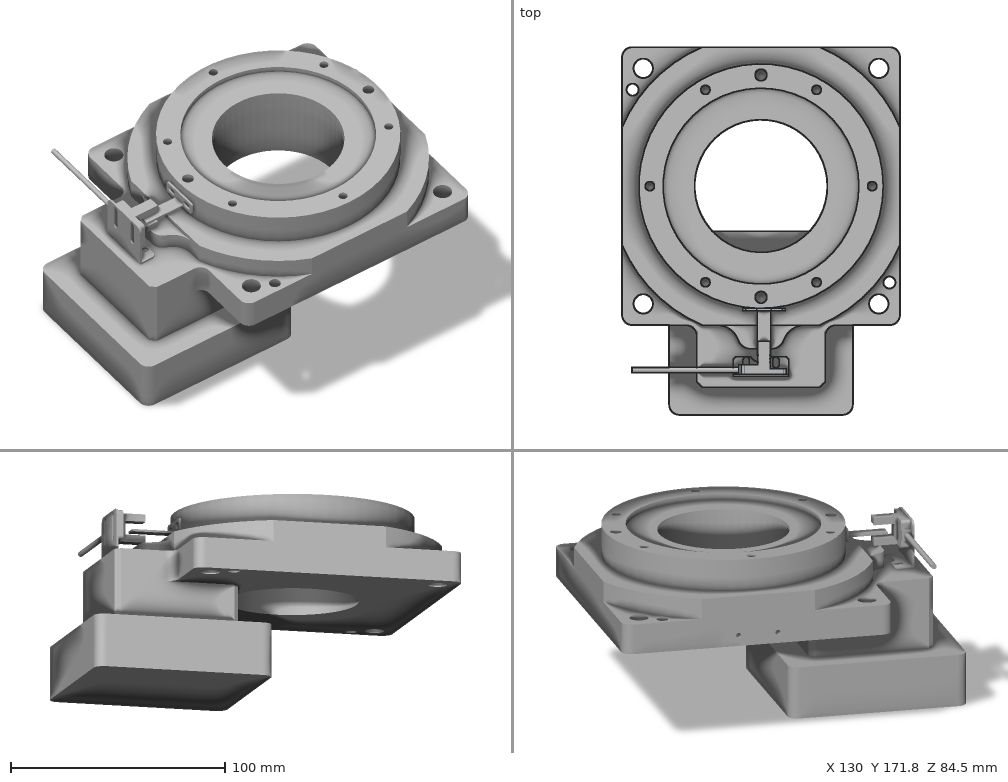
import cadquery as cq
import math


total_height = 84.5
motor_height = 25.1
plate_bottom = 45.0
plate_top = 59.5
disc_top = 69.5

plate_side = 130.0
plate_half = plate_side / 2
corner_radius = 5.0
disc_radius = 70.5
bore_radius = 31.0
mount_offset = 55.0
mount_hole_diameter = 9.0
dowel_x, dowel_y = 60.0, 45.0
dowel_diameter = 5.5

total_length = 171.8
motor_side = 86.0
motor_y = plate_half - total_length + motor_side / 2
gear_side = 60.0
gear_chamfer = 2.5
gear_front = motor_y - gear_side / 2

bump_height = 7.7
bump_length = 11.0
bump_tip_half_width = 4.8
bump_tip_radius = 6.2
bump_fillet_radius = 10.5

side_hole_spacing = 18.9
side_hole_diameter = 2.4
side_hole_depth = 5.2
side_hole_z = 50.2

hub_radius = 45.7
hub_top = 81.6

table_radius = 57.0
bolt_circle_radius = 51.9
screw_hole_diameter = 4.3
pin_hole_diameter = 5.5
table_hole_depth = 10.0
drill_tip_angle = 118.0

sheet = 1.0
bend_radius = 0.5
sensor_x = 1.4
sensor_z = 75.0

flag_width = 20.0
flag_bottom = 73.4
flag_height = 6.2
flag_corner_radius = 1.0
flag_slot_spacing = 12.0
flag_slot_length = 5.2
flag_slot_width = 3.0
tongue_width = 6.4
tongue_end = -78.9

bracket_width = 26.1
bracket_front = -88.8
bracket_back = -79.5
bracket_height = 22.9
bracket_corner_radius = 3.0
foot_corner_radius = 2.2
bracket_slot_width = 3.0
upright_slot_spacing = 13.2
upright_slot_bottom, upright_slot_top = 68.2, 81.3
foot_slot_spacing = 14.0
foot_slot_length = 5.2
foot_slot_y = -82.3
foot_notch_radius = 5.8
foot_notch_y = -76.5

sensor_height = 13.5
fork_width = 5.7
fork_tip = -72.3
fork_gap = 6.5
fork_floor = -82.1
lug_span = 21.0
lug_back_left = -83.3
lug_back_right = -85.2
lug_corner_radius = 1.4
lug_hole_x = 8.5
lug_hole_spacing = 7.4
lug_hole_diameter = 3.5
outlet_end = -10.5
outlet_height = 5.2
cable_diameter = 2.5
cable_y = -86.0
cable_end = -60.3


def box(x_range, y_range, z_range):
    """Box between two limits along each axis."""
    size = [high - low for low, high in (x_range, y_range, z_range)]
    corner = (x_range[0], y_range[0], z_range[0])
    return cq.Workplane("XY").box(*size, centered=False).translate(corner)


def cylinder(radius, bottom, top):
    """Cylinder about the turntable axis."""
    return cq.Workplane("XY").workplane(offset=bottom).circle(radius).extrude(top - bottom)


def make_bump():
    """Flat-ended lobe whose rounded corners run into hollow fillets at the plate edge."""
    edge = -plate_half
    tip = edge - bump_length
    corner_x = bump_tip_half_width
    corner_y = tip + bump_tip_radius
    fillet_y = edge - bump_fillet_radius
    reach = bump_tip_radius + bump_fillet_radius
    fillet_x = corner_x + math.sqrt(reach**2 - (corner_y - fillet_y) ** 2)

    lean = math.atan2(fillet_x - corner_x, corner_y - fillet_y)

    def on_corner(angle):
        """Point of the convex corner arc, angle from its lowest point."""
        return (
            corner_x + bump_tip_radius * math.sin(angle),
            corner_y - bump_tip_radius * math.cos(angle),
        )

    def on_fillet(angle):
        """Point of the hollow fillet arc, angle from its highest point."""
        return (
            fillet_x - bump_fillet_radius * math.sin(angle),
            fillet_y + bump_fillet_radius * math.cos(angle),
        )

    half_lobe = (
        cq.Workplane("XY").workplane(offset=plate_top)
        .moveTo(0, edge)
        .lineTo(0, tip)
        .lineTo(corner_x, tip)
        .threePointArc(on_corner(lean / 2), on_corner(lean))
        .threePointArc(on_fillet(lean / 2), on_fillet(0))
        .close()
        .extrude(bump_height)
    )
    return half_lobe.union(half_lobe.mirror("YZ"))


def make_neck():
    """Hollow fillets in the corners between plate edge and gear box sides."""
    half = gear_side / 2
    neck = box(
        (-half - corner_radius, half + corner_radius),
        (-plate_half - corner_radius, -plate_half),
        (plate_bottom, plate_top),
    )
    rounds = (
        cq.Workplane("XY").workplane(offset=plate_bottom)
        .pushPoints([(side * (half + corner_radius), -plate_half - corner_radius) for side in (-1, 1)])
        .circle(corner_radius)
        .extrude(plate_top - plate_bottom)
    )
    return neck.cut(rounds)


def make_base():
    plate = (
        box((-plate_half, plate_half), (-plate_half, plate_half), (plate_bottom, plate_top))
        .edges("|Z").fillet(corner_radius)
    )
    disc = cylinder(disc_radius, plate_top, disc_top).intersect(
        box((-plate_half, plate_half), (-plate_half, plate_half), (plate_top, disc_top))
    )
    gear_box = (
        box((-gear_side / 2, gear_side / 2), (gear_front, gear_front + gear_side), (motor_height, plate_top))
        .edges("|Z").chamfer(gear_chamfer)
    )
    motor = (
        cq.Workplane("XY").center(0, motor_y).rect(motor_side, motor_side).extrude(motor_height)
        .edges("|Z").fillet(corner_radius)
    )
    base = plate.union(disc).union(make_neck()).union(gear_box).union(motor).union(make_bump())
    base = base.union(cylinder(hub_radius, plate_top, hub_top))
    base = base.cut(cylinder(bore_radius, plate_bottom, hub_top))

    through_holes = (
        cq.Workplane("XY").workplane(offset=plate_bottom)
        .rect(2 * mount_offset, 2 * mount_offset, forConstruction=True).vertices()
        .circle(mount_hole_diameter / 2).extrude(plate_top - plate_bottom)
    )
    dowel_holes = (
        cq.Workplane("XY").workplane(offset=plate_bottom)
        .pushPoints([(-dowel_x, dowel_y), (dowel_x, -dowel_y)])
        .circle(dowel_diameter / 2).extrude(plate_top - plate_bottom)
    )
    side_holes = (
        cq.Workplane("YZ").workplane(offset=-plate_half)
        .pushPoints([(side * side_hole_spacing / 2, side_hole_z) for side in (-1, 1)])
        .circle(side_hole_diameter / 2).extrude(side_hole_depth)
    )
    return base.cut(through_holes).cut(dowel_holes).cut(side_holes)


def table_hole(angle, diameter):
    """Blind drilled hole with a conical tip, on the bolt circle."""
    radius = diameter / 2
    tip_depth = radius / math.tan(math.radians(drill_tip_angle / 2))
    profile = [
        (0, 0),
        (radius, 0),
        (radius, -table_hole_depth),
        (0, -table_hole_depth - tip_depth),
    ]
    drill = cq.Workplane("XZ").polyline(profile).close().revolve(360, (0, 0), (0, 1))
    x = bolt_circle_radius * math.cos(math.radians(angle))
    y = bolt_circle_radius * math.sin(math.radians(angle))
    return drill.translate((x, y, total_height))


def make_turntable():
    """Ring on the disc, around the fixed hub."""
    table = cylinder(table_radius, disc_top, total_height)
    table = table.cut(cylinder(hub_radius, disc_top, total_height))
    for angle in range(0, 360, 60):
        table = table.cut(table_hole(angle, screw_hole_diameter))
    for angle in (90, 270):
        table = table.cut(table_hole(angle, pin_hole_diameter))
    return table


def make_flag():
    """Bent flag: slotted tab against the turntable and a tongue into the fork."""
    front = -table_radius - sheet
    tab = (
        box(
            (sensor_x - flag_width / 2, sensor_x + flag_width / 2),
            (front, -table_radius),
            (flag_bottom, flag_bottom + flag_height),
        )
        .edges("|Y").fillet(flag_corner_radius)
    )
    slots = (
        cq.Workplane("XZ").workplane(offset=table_radius)
        .pushPoints([
            (sensor_x + side * flag_slot_spacing / 2, flag_bottom + flag_height / 2)
            for side in (-1, 1)
        ])
        .slot2D(flag_slot_length, flag_slot_width).extrude(sheet)
    )
    tongue = box(
        (sensor_x - tongue_width / 2, sensor_x + tongue_width / 2),
        (tongue_end, -table_radius),
        (flag_bottom, flag_bottom + sheet),
    )
    flag = tab.cut(slots).union(tongue)
    inner_bend = cq.NearestToPointSelector((sensor_x, front, flag_bottom + sheet))
    return flag.edges(inner_bend).fillet(bend_radius)


def make_bracket():
    """Sheet angle on the gear box with slots in both legs."""
    half = bracket_width / 2
    upright_slot_z = (upright_slot_bottom + upright_slot_top) / 2
    upright = (
        box((-half, half), (bracket_front, bracket_front + sheet), (plate_top, plate_top + bracket_height))
        .edges("|Y and >Z").fillet(bracket_corner_radius)
    )
    upright_slots = (
        cq.Workplane("XZ").workplane(offset=-bracket_front)
        .pushPoints([(side * upright_slot_spacing / 2, upright_slot_z) for side in (-1, 1)])
        .slot2D(upright_slot_top - upright_slot_bottom, bracket_slot_width, 90).extrude(-sheet)
    )
    foot = (
        box((-half, half), (bracket_front, bracket_back), (plate_top, plate_top + sheet))
        .edges("|Z and >Y").fillet(foot_corner_radius)
    )
    foot_slots = (
        cq.Workplane("XY").workplane(offset=plate_top)
        .pushPoints([(side * foot_slot_spacing / 2, foot_slot_y) for side in (-1, 1)])
        .slot2D(foot_slot_length, bracket_slot_width, 90).extrude(sheet)
    )
    notch = (
        cq.Workplane("XY").workplane(offset=plate_top)
        .center(0, foot_notch_y).circle(foot_notch_radius).extrude(sheet)
    )
    bracket = upright.cut(upright_slots).union(foot.cut(foot_slots).cut(notch))
    return bracket.edges("|X and <Y and <Z").fillet(bend_radius)


def make_sensor():
    """Fork sensor with two mounting lugs, cable outlet and cable."""
    seat = bracket_front + sheet
    bottom, top = sensor_z - sensor_height / 2, sensor_z + sensor_height / 2
    left, right = sensor_x - lug_span / 2, sensor_x + lug_span / 2

    fork_x = (sensor_x - fork_width / 2, sensor_x + fork_width / 2)
    fork = box(fork_x, (seat, fork_tip), (bottom, top))
    gap = box(fork_x, (fork_floor, fork_tip), (sensor_z - fork_gap / 2, sensor_z + fork_gap / 2))
    left_lug = (
        box((left, sensor_x), (seat, lug_back_left), (bottom, top))
        .edges("|Y and <X").fillet(lug_corner_radius)
    )
    right_lug = (
        box((sensor_x, right), (seat, lug_back_right), (bottom, top))
        .edges("|Y and >X").fillet(lug_corner_radius)
    )
    lug_holes = (
        cq.Workplane("XZ").workplane(offset=-seat)
        .pushPoints([(lug_hole_x, sensor_z + side * lug_hole_spacing / 2) for side in (-1, 1)])
        .circle(lug_hole_diameter / 2).extrude(seat - lug_back_right)
    )
    outlet = box(
        (outlet_end, sensor_x),
        (seat, lug_back_left),
        (sensor_z - outlet_height / 2, sensor_z + outlet_height / 2),
    )
    cable = (
        cq.Workplane("YZ").workplane(offset=cable_end)
        .center(cable_y, sensor_z).circle(cable_diameter / 2).extrude(outlet_end - cable_end)
    )
    body = fork.cut(gap).union(left_lug).union(right_lug.cut(lug_holes))
    return body.union(outlet).union(cable)


base = make_base()
turntable = make_turntable()
flag = make_flag()
bracket = make_bracket()
sensor = make_sensor()

bodies = [base, turntable, flag, bracket, sensor]
result = cq.Compound.makeCompound([body.solids().val() for body in bodies])